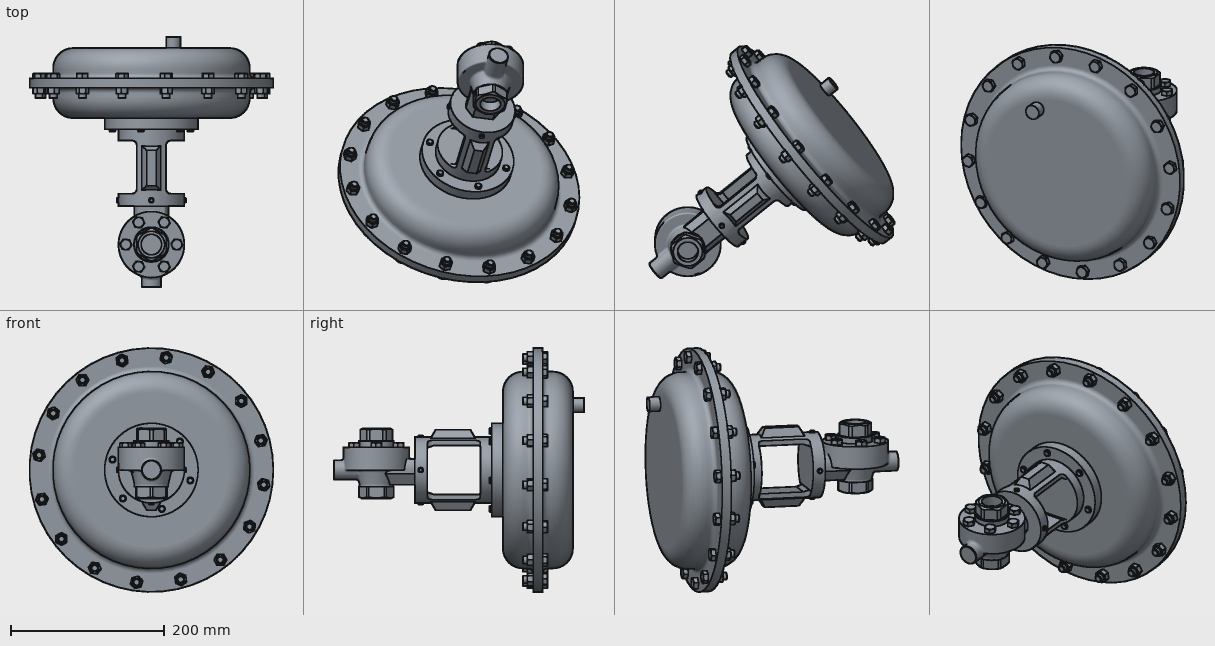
import cadquery as cq
import math


case_front = 164.3
case_back = 255.5
case_radius = 128.0
case_corner_radius = 26.7
rim_radius = 158.7
rim_front = 203.5
rim_back = 216.0
rim_fillet = 6.5

rim_bolt_count = 16
rim_bolt_circle_radius = 147.5
rim_bolt_start_angle = 15.0
rim_bolt_turn = -7.5
rim_hex_flats = 14.3
rim_head_height = 6.5
rim_nut_height = 7.8
hex_corner_bevel = 1.0
rim_shank_radius = 5.0
rim_shank_overhang = 6.0
screw_chamfer = 1.0

port_radius = 9.5
port_x = 28.5
port_z = 84.2
port_length = 14.3

plate_radius = 60.8
plate_front = 149.5
plate_screw_count = 6
plate_screw_circle_radius = 52.5
plate_screw_start_angle = 45.0
plate_screw_radius = 4.2
plate_screw_height = 3.0

yoke_radius = 43.0
yoke_front = 50.0
window_front = 66.5
window_back = 135.0
leg_half_width = 19.2
leg_inner_height = 31.5
leg_fillet = 6.0
leg_haunch_length = 7.8
leg_haunch_rise = 2.5
leg_back_bevel = 1.3

rib_base_height = 41.0
rib_top_height = 52.5
rib_base_width = 25.0
rib_base_length = 58.5
rib_inset = 6.5
rib_center_y = 99.5

set_screw_y = 57.5
set_screw_radius = 3.3
set_screw_tip = 45.2

body_radius = 43.0
body_top = 29.3
body_bottom = -0.5
body_edge_fillet = 2.3
inlet_half_width = 22.5
inlet_top = 14.3
inlet_side_bottom = -5.2
inlet_bottom = -19.2
inlet_bottom_half_width = 13.3
inlet_fillet = 2.0
stub_radius = 12.7
stub_front = -55.3
stub_fillet = 4.0
stub_chamfer = 0.5

neck_radius = 22.0
neck_base_radius = 26.5
neck_fillet = 3.3
neck_cone_bottom = -18.5
collar_top = 37.7
collar_lip_radius = 22.8
collar_lip_height = 0.5
upper_hex_flats = 38.7
upper_hex_corner_radius = 21.0
upper_hex_top = 54.3
lower_hex_flats = 41.0
lower_hex_corner_radius = 22.8
lower_hex_top = -21.8
lower_hex_bottom = -37.0
hex_chamfer_width = 4.0
hex_chamfer_height = 2.0
bore_radius = 13.3
bore_depth = 14.5

bonnet_bolt_count = 6
bonnet_bolt_circle_radius = 33.2
bonnet_bolt_flats = 13.3
bonnet_bolt_height = 6.2
bonnet_bolt_turn = -7.0


def hex_corner_diameter(flats):
    """Corner-to-corner size of a hexagon from its flat-to-flat size."""
    return flats / math.cos(math.radians(30))


def along_y(y_start):
    """Workplane at y_start with local x = X, local y = Z, extruding toward -Y."""
    return cq.Workplane("XZ", origin=(0, y_start, 0))


def make_hex(flats, height):
    """Hexagon standing on z = 0, its top corners bevelled down to the flats' circle."""
    prism = cq.Workplane("XY").polygon(6, hex_corner_diameter(flats)).extrude(height)
    corner_radius = hex_corner_diameter(flats) / 2
    cone_height = height - hex_corner_bevel
    envelope = (
        cq.Workplane("XZ")
        .lineTo(corner_radius, 0)
        .lineTo(corner_radius, cone_height)
        .lineTo(flats / 2, height)
        .lineTo(0, height)
        .close()
        .revolve(360, (0, 0, 0), (0, 1, 0))
    )
    return prism.intersect(envelope)


def ring_positions(count, radius, start_angle):
    """Points and angles evenly spaced round a circle."""
    for i in range(count):
        angle = start_angle + i * 360 / count
        radians = math.radians(angle)
        yield radius * math.cos(radians), radius * math.sin(radians), angle


def make_case():
    """Domed shells and bolted rim, revolved about Y."""
    flat_radius = case_radius - case_corner_radius
    bend = case_corner_radius * math.sin(math.radians(45))
    rim_bend = rim_fillet * (1 - math.sin(math.radians(45)))
    return (
        cq.Workplane("XY")
        .moveTo(0, case_front)
        .lineTo(flat_radius, case_front)
        .threePointArc(
            (flat_radius + bend, case_front + case_corner_radius - bend),
            (case_radius, case_front + case_corner_radius),
        )
        .lineTo(case_radius, rim_front - rim_fillet)
        .threePointArc(
            (case_radius + rim_bend, rim_front - rim_bend),
            (case_radius + rim_fillet, rim_front),
        )
        .lineTo(rim_radius, rim_front)
        .lineTo(rim_radius, rim_back)
        .lineTo(case_radius + rim_fillet, rim_back)
        .threePointArc(
            (case_radius + rim_bend, rim_back + rim_bend),
            (case_radius, rim_back + rim_fillet),
        )
        .lineTo(case_radius, case_back - case_corner_radius)
        .threePointArc(
            (flat_radius + bend, case_back - case_corner_radius + bend),
            (flat_radius, case_back),
        )
        .lineTo(0, case_back)
        .close()
        .revolve(360, (0, 0, 0), (0, 1, 0))
    )


def make_rim_bolt():
    """One rim bolt centred on the Y axis: head, nut and chamfered end."""
    head = (
        make_hex(rim_hex_flats, rim_head_height)
        .rotate((0, 0, 0), (0, 0, 1), 30)
        .rotate((0, 0, 0), (1, 0, 0), -90)
        .translate((0, rim_back, 0))
    )
    nut = (
        make_hex(rim_hex_flats, rim_nut_height)
        .rotate((0, 0, 0), (1, 0, 0), 90)
        .translate((0, rim_front, 0))
    )
    shank_end = rim_front - rim_nut_height - rim_shank_overhang
    shank = (
        along_y(rim_back)
        .circle(rim_shank_radius)
        .extrude(rim_back - shank_end)
        .faces("<Y")
        .chamfer(screw_chamfer)
    )
    return head.union(shank).union(nut)


def add_rim_bolts(part):
    """Each bolt turns with its place, keeping a fixed angle to the radial line."""
    bolt = make_rim_bolt()
    for x, z, angle in ring_positions(rim_bolt_count, rim_bolt_circle_radius, rim_bolt_start_angle):
        turn = angle + rim_bolt_turn
        placed = bolt.rotate((0, 0, 0), (0, 1, 0), -turn).translate((x, 0, z))
        part = part.union(placed)
    return part


def make_plate():
    """Round mounting plate with a ring of screw heads."""
    plate = along_y(case_front).circle(plate_radius).extrude(case_front - plate_front)
    screw = (
        along_y(plate_front)
        .circle(plate_screw_radius)
        .extrude(plate_screw_height)
        .faces("<Y")
        .chamfer(screw_chamfer)
    )
    for x, z, _ in ring_positions(
        plate_screw_count, plate_screw_circle_radius, plate_screw_start_angle
    ):
        plate = plate.union(screw.translate((x, 0, z)))
    return plate


def make_rib():
    """Tapered rib on the upper leg."""
    return (
        cq.Workplane("XY", origin=(0, rib_center_y, rib_base_height))
        .rect(rib_base_width, rib_base_length)
        .workplane(offset=rib_top_height - rib_base_height)
        .rect(rib_base_width - 2 * rib_inset, rib_base_length - 2 * rib_inset)
        .loft(combine=True)
    )


def make_yoke():
    """Cylinder cut away at both sides and through the middle, leaving two legs.

    Each leg thickens toward the front collar and has a small bevel at the back.
    """
    yoke = along_y(plate_front).circle(yoke_radius).extrude(plate_front - yoke_front)
    window_length = window_back - window_front
    window_center = (window_back + window_front) / 2
    for side in (1, -1):
        inner_edges = "|Z and <X" if side > 0 else "|Z and >X"
        side_cut = (
            cq.Workplane("XY")
            .box(yoke_radius, window_length, 2 * yoke_radius)
            .translate((side * (leg_half_width + yoke_radius / 2), window_center, 0))
            .edges(inner_edges)
            .fillet(leg_fillet)
        )
        yoke = yoke.cut(side_cut)
    half_outline = [
        (window_front, leg_inner_height - leg_haunch_rise),
        (window_front + leg_haunch_length, leg_inner_height),
        (window_back - leg_back_bevel, leg_inner_height),
        (window_back, leg_inner_height - leg_back_bevel),
    ]
    mirrored = [(y, -z) for y, z in reversed(half_outline)]
    window = (
        cq.Workplane("YZ")
        .polyline(half_outline + mirrored)
        .close()
        .extrude(yoke_radius, both=True)
    )
    rib = make_rib()
    return yoke.cut(window).union(rib).union(rib.mirror("XY"))


def add_set_screws(part):
    """Four radial set screws in the front collar."""
    screw = (
        cq.Workplane("XY")
        .circle(set_screw_radius)
        .extrude(set_screw_tip)
        .faces(">Z")
        .chamfer(screw_chamfer)
    )
    for quarter in range(4):
        turned = screw.rotate((0, 0, 0), (0, 1, 0), 90 * quarter)
        part = part.union(turned.translate((0, set_screw_y, 0)))
    return part


def make_inlet():
    """Block joining yoke and valve: round shoulders, flat top, bevelled underside."""
    shoulder_x = math.sqrt(inlet_half_width**2 - inlet_top**2)
    mid_angle = math.asin(inlet_top / inlet_half_width) / 2
    mid_x = inlet_half_width * math.cos(mid_angle)
    mid_z = inlet_half_width * math.sin(mid_angle)
    return (
        along_y(yoke_front)
        .moveTo(-inlet_bottom_half_width, inlet_bottom)
        .lineTo(inlet_bottom_half_width, inlet_bottom)
        .lineTo(inlet_half_width, inlet_side_bottom)
        .lineTo(inlet_half_width, 0)
        .threePointArc((mid_x, mid_z), (shoulder_x, inlet_top))
        .lineTo(-shoulder_x, inlet_top)
        .threePointArc((-mid_x, mid_z), (-inlet_half_width, 0))
        .lineTo(-inlet_half_width, inlet_side_bottom)
        .close()
        .extrude(yoke_front)
    )


def round_boss(radius, bottom, top):
    """Plain cylinder on the flow axis between two heights."""
    return cq.Workplane("XY", origin=(0, 0, bottom)).circle(radius).extrude(top - bottom)


def make_body():
    """Round valve body with its conical lower neck and front stub."""
    body = round_boss(body_radius, body_bottom, body_top)
    body = body.faces("<Z").edges().fillet(body_edge_fillet)
    neck = (
        cq.Workplane("XZ")
        .moveTo(0, body_top)
        .lineTo(neck_base_radius, body_top)
        .lineTo(neck_base_radius, body_bottom)
        .lineTo(neck_radius, neck_cone_bottom)
        .lineTo(neck_radius, lower_hex_top)
        .lineTo(0, lower_hex_top)
        .close()
        .revolve(360, (0, 0, 0), (0, 1, 0))
    )
    stub = along_y(0).circle(stub_radius).extrude(-stub_front).faces("<Y").chamfer(stub_chamfer)
    body = body.union(neck)
    underside = cq.selectors.NearestToPointSelector((neck_base_radius + 6.5, 0, body_bottom))
    neck_joint = cq.selectors.RadiusNthSelector(0)
    body = body.faces(underside).edges(neck_joint).fillet(neck_fillet).union(stub)
    reach = stub_radius + stub_fillet
    stub_joint = cq.selectors.BoxSelector(
        (-reach, -body_radius - stub_fillet, -reach),
        (reach, -neck_radius + stub_fillet, reach),
    )
    return body.edges(stub_joint).fillet(stub_fillet)


def make_end_hex(flats, corner_radius, height):
    """Wrench hexagon standing on z = 0: corners turned round, top edge bevelled."""
    prism = cq.Workplane("XY").polygon(6, hex_corner_diameter(flats)).extrude(height)
    prism = prism.rotate((0, 0, 0), (0, 0, 1), 30)
    envelope = (
        cq.Workplane("XZ")
        .lineTo(corner_radius, 0)
        .lineTo(corner_radius, height - hex_chamfer_height)
        .lineTo(corner_radius - hex_chamfer_width, height)
        .lineTo(0, height)
        .close()
        .revolve(360, (0, 0, 0), (0, 1, 0))
    )
    return prism.intersect(envelope)


def make_valve():
    """Valve body with its upper and lower connections and bonnet bolts."""
    collar = round_boss(neck_radius, body_top, collar_top)
    lip = round_boss(collar_lip_radius, collar_top - collar_lip_height, collar_top)

    upper_hex = make_end_hex(
        upper_hex_flats, upper_hex_corner_radius, upper_hex_top - collar_top
    ).translate((0, 0, collar_top))
    lower_hex = (
        make_end_hex(lower_hex_flats, lower_hex_corner_radius, lower_hex_top - lower_hex_bottom)
        .mirror("XY")
        .translate((0, 0, lower_hex_top))
    )
    valve = make_body().union(make_inlet())
    inlet_joint = cq.selectors.BoxSelector(
        (-inlet_half_width, body_radius - inlet_fillet, inlet_top - inlet_fillet),
        (inlet_half_width, body_radius + inlet_fillet, inlet_top + inlet_fillet),
    )
    valve = valve.edges(inlet_joint).fillet(inlet_fillet)
    valve = valve.union(collar).union(lip).union(upper_hex).union(lower_hex)

    bolt = (
        make_hex(bonnet_bolt_flats, bonnet_bolt_height)
        .rotate((0, 0, 0), (0, 0, 1), bonnet_bolt_turn)
        .translate((0, 0, body_top))
    )
    for x, y, _ in ring_positions(bonnet_bolt_count, bonnet_bolt_circle_radius, 0):
        valve = valve.union(bolt.translate((x, y, 0)))

    upper_bore = round_boss(bore_radius, upper_hex_top - bore_depth, upper_hex_top)
    lower_bore = round_boss(bore_radius, lower_hex_bottom, lower_hex_bottom + bore_depth)
    return valve.cut(upper_bore).cut(lower_bore)


supply_port = (
    along_y(case_back + port_length)
    .center(port_x, port_z)
    .circle(port_radius)
    .extrude(port_length)
)

actuator = add_rim_bolts(make_case().union(supply_port))
yoke_assembly = add_set_screws(make_plate().union(make_yoke()))
result = actuator.union(yoke_assembly).union(make_valve())